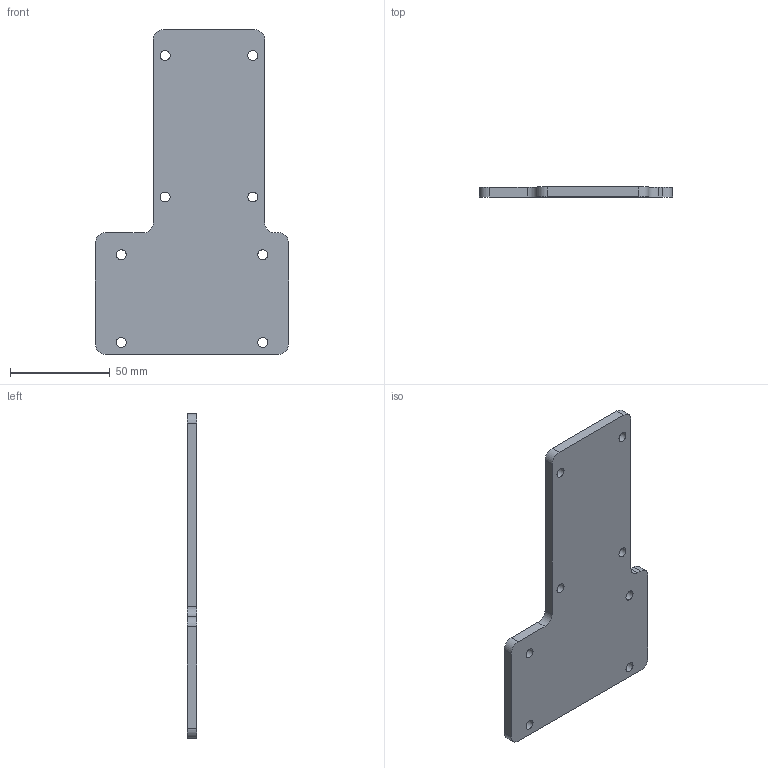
import cadquery as cq

thickness = 5.0
base_width = 97.0
base_height = 61.0
total_height = 163.0
stem_width = 56.0
stem_left = 29.0
corner_radius = 5.0

hole_diameter = 5.0
hole_long_pitch = 71.0
hole_short_pitch = 44.0
hole_long_margin = 13.0
hole_short_margin = 6.0

stem_right = stem_left + stem_width
base_holes_x = hole_long_margin + hole_long_pitch / 2
base_holes_z = hole_short_margin + hole_short_pitch / 2
stem_holes_x = stem_left + hole_short_margin + hole_short_pitch / 2
stem_holes_z = total_height - hole_long_margin - hole_long_pitch / 2


def make_plate():
    """Stepped plate with every corner rounded; front face at Y = 0."""
    outline = [
        (0, 0),
        (base_width, 0),
        (base_width, base_height),
        (stem_right, base_height),
        (stem_right, total_height),
        (stem_left, total_height),
        (stem_left, base_height),
        (0, base_height),
    ]
    plate = cq.Workplane("XZ").polyline(outline).close().extrude(-thickness)
    return plate.edges("|Y").fillet(corner_radius)


def make_holes(center_x, center_z, pitch_x, pitch_z):
    """Four cylinders through the plate at the corners of a rectangle."""
    return (
        cq.Workplane("XZ")
        .center(center_x, center_z)
        .rect(pitch_x, pitch_z, forConstruction=True)
        .vertices()
        .circle(hole_diameter / 2)
        .extrude(-thickness)
    )


base_holes = make_holes(base_holes_x, base_holes_z, hole_long_pitch, hole_short_pitch)
stem_holes = make_holes(stem_holes_x, stem_holes_z, hole_short_pitch, hole_long_pitch)

result = make_plate().cut(base_holes).cut(stem_holes)